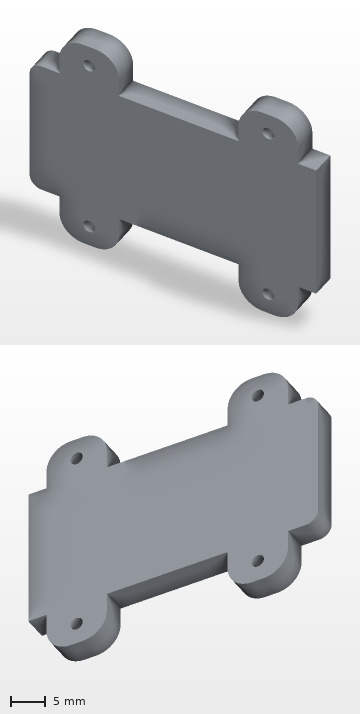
import cadquery as cq

plate_length = 48.0
plate_height = 23.0
thickness = 4.0
plate_corner_radius = 2.0

overall_height = 37.0
tab_width = 10.0
tab_corner_radius = 4.0
hole_diameter = 2.0
hole_spacing_x = 30.0
hole_spacing_z = 30.0
first_hole_from_left = 10.0

left_tab_x = first_hole_from_left - plate_length / 2
tab_centers_x = [left_tab_x, left_tab_x + hole_spacing_x]


def make_plate():
    """Plate with its two left corners rounded."""
    plate = cq.Workplane("XY").box(plate_length, thickness, plate_height)
    return plate.edges("|Y and <X").fillet(plate_corner_radius)


def make_tab_strip(center_x):
    """Full-height strip whose rounded ends form an upper and a lower tab."""
    strip = cq.Workplane("XY").box(tab_width, thickness, overall_height)
    return strip.edges("|Y").fillet(tab_corner_radius).translate((center_x, 0, 0))


def make_holes():
    """Through holes, one in each tab."""
    hole_centers = [
        (x, side * hole_spacing_z / 2)
        for x in tab_centers_x
        for side in (-1, 1)
    ]
    return (
        cq.Workplane("XZ")
        .pushPoints(hole_centers)
        .circle(hole_diameter / 2)
        .extrude(thickness, both=True)
    )


body = make_plate()
for tab_x in tab_centers_x:
    body = body.union(make_tab_strip(tab_x))

result = body.clean().cut(make_holes())